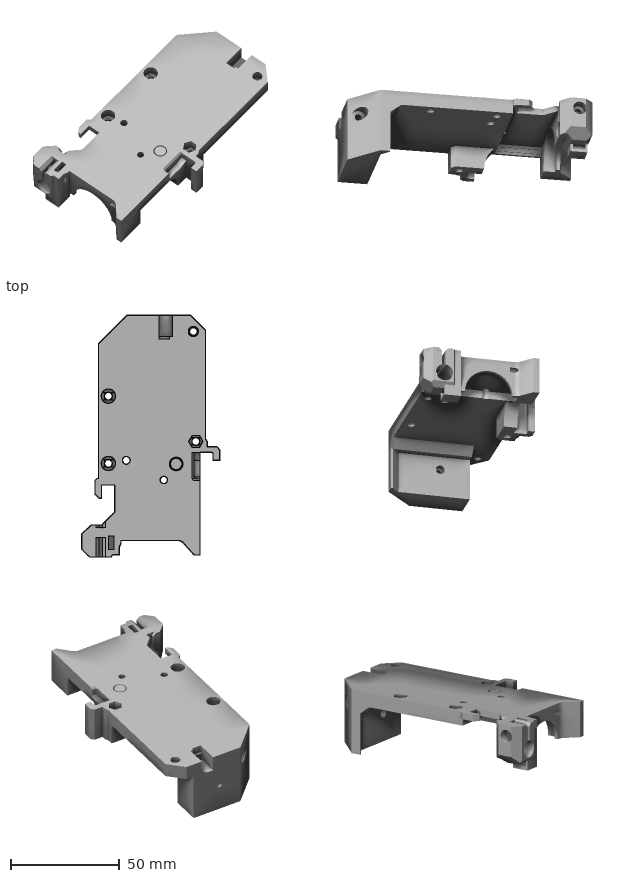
import cadquery as cq


LENGTH = 111.5
WIDTH = 63.5
PLATE_DEPTH = 6.8
THIN_DEPTH = 3.1
BLOCK_DEPTH = 17.2
CLAMP_DEPTH = 19.2
FOOT_DEPTH = 22.9
REAR_WALL_DEPTH = 30.5

LEFT_X = 7.7
RIGHT_X = 57.1
FRONT_RIGHT_X = 54.5
NECK_X = 15.2
WALL_FRONT_Y = 7.7
BLOCK_BACK_Y = 14.9
CAVITY_BACK_Y = 36.3
REAR_LEFT_CHAMFER = 13.2
RIGHT_FOOT_FRONT_Y = 1.0
HOOK_FRONT_Y = 48.3

ARCH_X = 32.1
ARCH_RADIUS = 11.3
CAVITY_RADIUS = BLOCK_DEPTH - THIN_DEPTH
ARCH_WALL = 1.8
CORNER_FILLET = 3.8
SIDE_GROOVE_DIAMETER = 2.8

CLAMP_CHAMFER = 4.7
CLAMP_EDGE_CHAMFER = 2.5
FOOT_FRONT_Y = 1.1
FOOT_TOP_DEPTH = 17.6
FOOT_BACK_Y = 9.1
FOOT_LEFT_X = 9.5
FOOT_RIGHT_X = 17.3
ROD_X = 9.1
ROD_DEPTH = 12.3
ROD_DIAMETER = 8.0
CLAMP_SCREW_Y = 6.5
CLAMP_SCREW_DEPTH = 5.0
CLAMP_SCREW_DIAMETER = 3.3
CLAMP_HEAD_DIAMETER = 6.2
CLAMP_HEAD_LENGTH = 5.0

REAR_WALL_RIGHT_X = 46.2
REAR_RIB_FRONT_Y = 93.8
REAR_WALL_FRONT_Y = 97.5
RIB_GUSSET_FRONT_Y = 88.6
GUSSET_DEPTH = 10.8
REAR_RIB_WIDTH = 0.9

SCREW_DIAMETER = 3.5
HEAD_DIAMETER = 6.6
HEAD_DEPTH = 5.0
BRIDGE_STEP = 0.3
LEFT_SCREWS = [(12.3, 74.1), (12.3, 43.2)]
NUT_PLACE = (52.5, 53.3)
REAR_SCREW_PLACE = (51.4, 103.9)
REAR_SCREW_HEAD_DIAMETER = 4.7
SCREW_HOLE_PLACE = (20.5, 44.6)
SMALL_HOLE_PLACE = (37.8, 35.6)
SMALL_HOLE_DIAMETER = 3.2

PLUG_PLACE = (43.5, 42.9)
PLUG_DIAMETER = 5.2
PLUG_HOLE_DIAMETER = 6.2


def prism(points, top, bottom):
    """Vertical prism over an XY outline between two depths."""
    return cq.Workplane("XY").workplane(offset=-bottom).polyline(points).close().extrude(bottom - top)


def box(x, y, depth):
    """Box between pairs of X, Y and depth limits."""
    corners = [(x[0], y[0]), (x[1], y[0]), (x[1], y[1]), (x[0], y[1])]
    return prism(corners, depth[0], depth[1])


def rod_x(diameter, y, depth, x_start, x_end):
    """Cylinder along X."""
    return cq.Workplane("YZ", origin=(x_start, y, -depth)).circle(diameter / 2).extrude(x_end - x_start)


def rod_y(diameter, x, depth, y_start, y_end):
    """Cylinder along Y."""
    return cq.Workplane("XZ", origin=(x, y_start, -depth)).circle(diameter / 2).extrude(y_start - y_end)


def rod_z(diameter, x, y, depth):
    """Cylinder going down from the top face."""
    return cq.Workplane("XY", origin=(x, y, 0)).circle(diameter / 2).extrude(-depth)


def profile_x(points, x_start, x_end):
    """Prism along X over a (Y, Z) outline."""
    return cq.Workplane("YZ", origin=(x_start, 0, 0)).polyline(points).close().extrude(x_end - x_start)


def profile_y(points, y_start, y_end):
    """Prism along Y over an (X, Z) outline."""
    return cq.Workplane("XZ", origin=(0, y_start, 0)).polyline(points).close().extrude(y_start - y_end)


def make_plate():
    """Flat plate with the left hook; the right hook belongs to the side boss."""
    outline = [
        (LEFT_X, LENGTH - REAR_LEFT_CHAMFER), (LEFT_X + REAR_LEFT_CHAMFER, LENGTH),
        (50.1, LENGTH), (RIGHT_X, 104.5), (RIGHT_X, HOOK_FRONT_Y), (FRONT_RIGHT_X, HOOK_FRONT_Y),
        (FRONT_RIGHT_X, BLOCK_BACK_Y), (9.3, BLOCK_BACK_Y), (NECK_X, 20.7),
        (NECK_X, 33.2), (9.1, 33.2), (9.1, 27.1), (8.0, 27.1), (6.0, 29.1), (6.0, 35.2),
        (7.1, CAVITY_BACK_Y), (LEFT_X, CAVITY_BACK_Y),
    ]
    return prism(outline, 0, PLATE_DEPTH)


def make_front_wall():
    """Front wall joined to the right front block."""
    outline = [
        (NECK_X, BLOCK_BACK_Y), (NECK_X, WALL_FRONT_Y), (45.7, WALL_FRONT_Y),
        (51.7, RIGHT_FOOT_FRONT_Y), (FRONT_RIGHT_X, RIGHT_FOOT_FRONT_Y), (FRONT_RIGHT_X, BLOCK_BACK_Y),
    ]
    wall = prism(outline, 0, BLOCK_DEPTH)
    corner = cq.selectors.BoxSelector((45.2, WALL_FRONT_Y - 0.6, -BLOCK_DEPTH), (46.3, WALL_FRONT_Y + 0.6, 0))
    return wall.edges("|Z").edges(corner).fillet(CORNER_FILLET)


def make_clamp_block():
    """Left front block with chamfered lower edges and a foot."""
    outline = [
        (3.7, 0), (13.5, 0), (14.3, FOOT_FRONT_Y), (FOOT_RIGHT_X, FOOT_FRONT_Y), (FOOT_RIGHT_X, 4.5),
        (18.2, 6.5), (18.2, BLOCK_BACK_Y), (4.5, BLOCK_BACK_Y), (0, 10.7), (0, 3.7),
    ]
    block = prism(outline, 0, CLAMP_DEPTH)
    rear_y = FOOT_BACK_Y + CLAMP_EDGE_CHAMFER
    side = profile_x(
        [(0, 0), (BLOCK_BACK_Y, 0), (BLOCK_BACK_Y, -BLOCK_DEPTH), (rear_y, -BLOCK_DEPTH),
         (FOOT_BACK_Y, -CLAMP_DEPTH), (CLAMP_EDGE_CHAMFER, -CLAMP_DEPTH),
         (0, CLAMP_EDGE_CHAMFER - CLAMP_DEPTH)], 0, WIDTH)
    lower_left = profile_y(
        [(0, -CLAMP_DEPTH), (CLAMP_CHAMFER, -CLAMP_DEPTH), (0, CLAMP_CHAMFER - CLAMP_DEPTH)],
        0, BLOCK_BACK_Y)
    foot = box((FOOT_LEFT_X, FOOT_RIGHT_X), (FOOT_FRONT_Y, FOOT_BACK_Y), (FOOT_TOP_DEPTH, FOOT_DEPTH))
    foot_pocket = box((FOOT_LEFT_X, FOOT_LEFT_X + 2.2), (2.0, 7.9), (CLAMP_DEPTH, 21.3))
    return block.intersect(side).cut(lower_left).union(foot).cut(foot_pocket)


def make_side_boss():
    """Boss under the right edge of the plate, scooped at its front, with the right hook."""
    root_x, inner_x, tip_y = 53.7, 60.4, 44.6
    inner_radius = 0.9
    hook = [
        (root_x, HOOK_FRONT_Y), (inner_x, HOOK_FRONT_Y), (inner_x, tip_y), (WIDTH, tip_y),
        (WIDTH, 49.4), (62.2, 51.0), (57.9, 51.0), (57.9, 53.2), (RIGHT_X, 54.3), (root_x, 54.3),
    ]
    base = [
        (48.2, CAVITY_BACK_Y), (FRONT_RIGHT_X, CAVITY_BACK_Y), (FRONT_RIGHT_X, HOOK_FRONT_Y),
        (RIGHT_X, HOOK_FRONT_Y), (RIGHT_X, 57.5), (50.1, 57.5), (48.2, 55.6),
    ]
    bottom_front_y = 42.4
    scoop = rod_x(2 * CAVITY_RADIUS, bottom_front_y - CAVITY_RADIUS, BLOCK_DEPTH, 0, WIDTH)
    boss = prism(base, PLATE_DEPTH, BLOCK_DEPTH).cut(scoop)
    inner_corner = cq.selectors.NearestToPointSelector((inner_x, HOOK_FRONT_Y, -BLOCK_DEPTH / 2))
    return boss.union(prism(hook, 0, BLOCK_DEPTH).edges(inner_corner).fillet(inner_radius))


def rear_gusset(length, x_start, x_end):
    """Sloped web between the plate and the rear wall."""
    points = [
        (REAR_RIB_FRONT_Y, -PLATE_DEPTH), (REAR_RIB_FRONT_Y - length, -PLATE_DEPTH),
        (REAR_RIB_FRONT_Y, -GUSSET_DEPTH),
    ]
    return profile_x(points, x_start, x_end)


def make_rear_wall():
    """Rear wall set back behind a narrow rib at its left edge, with sloped webs up to the plate."""
    back_left = LEFT_X + REAR_LEFT_CHAMFER
    outline = [
        (LEFT_X, REAR_RIB_FRONT_Y), (REAR_WALL_RIGHT_X, REAR_RIB_FRONT_Y), (REAR_WALL_RIGHT_X, LENGTH),
        (back_left, LENGTH), (LEFT_X, LENGTH - REAR_LEFT_CHAMFER),
    ]
    rib_x = LEFT_X + REAR_RIB_WIDTH
    setback = REAR_WALL_FRONT_Y - REAR_RIB_FRONT_Y
    recess = [
        (rib_x, REAR_RIB_FRONT_Y), (REAR_WALL_RIGHT_X, REAR_RIB_FRONT_Y),
        (REAR_WALL_RIGHT_X, REAR_WALL_FRONT_Y), (rib_x + setback, REAR_WALL_FRONT_Y),
    ]
    wall = prism(outline, 0, REAR_WALL_DEPTH).cut(prism(recess, GUSSET_DEPTH, REAR_WALL_DEPTH))
    rib_gusset = rear_gusset(REAR_RIB_FRONT_Y - RIB_GUSSET_FRONT_Y, LEFT_X, rib_x)
    wall_gusset = rear_gusset(GUSSET_DEPTH - PLATE_DEPTH, rib_x, REAR_WALL_RIGHT_X)
    return wall.union(rib_gusset).union(wall_gusset)


def cavity():
    """Hollow under the front half, with a leaning right wall, and the arch through the front wall."""
    profile = [
        (0, -PLATE_DEPTH), (0, -THIN_DEPTH), (50.7, -THIN_DEPTH), (51.3, -4.1), (51.6, -4.1),
        (52.4, -5.8), (52.7, -5.8), (53.2, -PLATE_DEPTH),
    ]
    hollow = profile_y(profile, BLOCK_BACK_Y, CAVITY_BACK_Y)
    bore = rod_y(2 * CAVITY_RADIUS, ARCH_X, BLOCK_DEPTH, WALL_FRONT_Y + ARCH_WALL, BLOCK_BACK_Y)
    arch = rod_y(2 * ARCH_RADIUS, ARCH_X, BLOCK_DEPTH, 0, BLOCK_BACK_Y)
    return hollow.union(bore).union(arch)


def side_groove():
    """Short round channel along X that breaks out of the front wall near its right corner."""
    axis_y, axis_depth = 8.5, 4.1
    left_x, right_x = 42.1, 46.8
    return rod_x(SIDE_GROOVE_DIAMETER, axis_y, axis_depth, left_x, right_x)


def clamp_cuts():
    """Rod bore, split with a flared mouth, pinch screw and nut pocket of the clamp block."""
    half_slot = 0.8
    half_mouth = 2.2
    mouth_depth = half_mouth - half_slot
    slot_x = 8.7
    split_end_y = 17.8
    screw_end_x = 17.8
    split = profile_y(
        [(slot_x - half_mouth, 0), (slot_x - half_slot, -mouth_depth), (slot_x - half_slot, -ROD_DEPTH),
         (slot_x + half_slot, -ROD_DEPTH), (slot_x + half_slot, -mouth_depth), (slot_x + half_mouth, 0)],
        0, split_end_y)
    bridge = box((slot_x - half_mouth, slot_x + half_mouth), (9.0, 13.6), (0, 6.5))
    rod = rod_y(ROD_DIAMETER, ROD_X, ROD_DEPTH, 0, BLOCK_BACK_Y)
    screw = rod_x(CLAMP_SCREW_DIAMETER, CLAMP_SCREW_Y, CLAMP_SCREW_DEPTH, 0, screw_end_x)
    head = rod_x(CLAMP_HEAD_DIAMETER, CLAMP_SCREW_Y, CLAMP_SCREW_DEPTH, 0, CLAMP_HEAD_LENGTH)
    nut = box((12.4, 14.8), (3.6, 9.7), (0, 8.1))
    return split.cut(bridge).union(rod).union(screw).union(head).union(nut)


def side_slot():
    """Pocket beside the right hook, open to the right, with a bevelled rim and a floor rising at both ends."""
    left_x, front_y = 50.7, 35.2
    rim = 0.9
    corner_radius = 1.7
    inner_x, inner_y = left_x + rim, front_y + rim
    floor_depth, rear_depth = 5.0, 3.7
    ramp_y = 44.6
    overrun = 2.2
    size_x = FRONT_RIGHT_X + overrun - left_x
    size_y = HOOK_FRONT_Y + overrun - front_y
    rim_outline = cq.Sketch().rect(size_x, size_y).vertices("<X and <Y").fillet(corner_radius)
    bevel = (
        cq.Workplane("XY", origin=(left_x + size_x / 2, front_y + size_y / 2, 0))
        .placeSketch(rim_outline).extrude(-rim, taper=45)
        .intersect(box((left_x, FRONT_RIGHT_X), (front_y, HOOK_FRONT_Y), (0, rim)))
    )
    corner = cq.selectors.NearestToPointSelector((inner_x, inner_y, -floor_depth / 2))
    pocket = profile_x(
        [(inner_y, 0), (inner_y, rim - floor_depth), (inner_y + rim, -floor_depth), (ramp_y, -floor_depth),
         (HOOK_FRONT_Y, -rear_depth), (HOOK_FRONT_Y, 0)], inner_x, FRONT_RIGHT_X)
    return pocket.edges(corner).fillet(corner_radius - rim).union(bevel)


def rear_slot():
    """Notch in the rear edge with a rounded lower right side and a short step at its front end."""
    left_x, right_x, front_y = 35.6, 41.8, 101.7
    depth = 7.4
    floor_radius = 3.7
    notch = box((left_x, right_x), (front_y, LENGTH), (0, depth)).edges("|Y and >X and <Z").fillet(floor_radius)
    return notch.union(box((left_x, 40.4), (100.6, front_y), (0, floor_radius)))


def rear_wall_holes():
    """Screw hole along Y through the rear wall, and a counterbored one along X from its left chamfer."""
    through_diameter, recess_diameter, recess_length = 2.3, 4.2, 3.3
    through = rod_y(through_diameter, ARCH_X, BLOCK_DEPTH, REAR_RIB_FRONT_Y, LENGTH)
    recess = rod_y(
        recess_diameter, ARCH_X, BLOCK_DEPTH, REAR_WALL_FRONT_Y, REAR_WALL_FRONT_Y + recess_length)
    side_y, side_depth = 106.5, 9.1
    floor_x, end_x = 20.1, 32.3
    side_head = rod_x(HEAD_DIAMETER, side_y, side_depth, LEFT_X, floor_x)
    side_screw = rod_x(SMALL_HOLE_DIAMETER, side_y, side_depth, floor_x, end_x)
    return through.union(recess).union(side_head).union(side_screw)


def bridged_screw_hole(x, y, recess):
    """Screw hole below a recess, with two stepped bridges between them."""
    slot = recess.translate((0, 0, -BRIDGE_STEP)).intersect(
        cq.Workplane("XY", origin=(x, y, -HEAD_DEPTH)).box(2 * HEAD_DIAMETER, SCREW_DIAMETER, 2 * PLATE_DEPTH))
    square = cq.Workplane("XY", origin=(x, y, 0)).rect(SCREW_DIAMETER, SCREW_DIAMETER)
    square = square.extrude(-HEAD_DEPTH - 2 * BRIDGE_STEP)
    return recess.union(slot).union(square).union(rod_z(SCREW_DIAMETER, x, y, BLOCK_DEPTH))


def screw_holes():
    """All vertical screw holes of the plate."""
    holes = rod_z(SCREW_DIAMETER, *SCREW_HOLE_PLACE, PLATE_DEPTH)
    holes = holes.union(rod_z(SMALL_HOLE_DIAMETER, *SMALL_HOLE_PLACE, PLATE_DEPTH))
    holes = holes.union(rod_z(SCREW_DIAMETER, *REAR_SCREW_PLACE, PLATE_DEPTH))
    holes = holes.union(rod_z(REAR_SCREW_HEAD_DIAMETER, *REAR_SCREW_PLACE, HEAD_DEPTH))
    for x, y in LEFT_SCREWS:
        holes = holes.union(bridged_screw_hole(x, y, rod_z(HEAD_DIAMETER, x, y, HEAD_DEPTH)))
    x, y = NUT_PLACE
    nut = cq.Workplane("XY", origin=(x, y, 0)).polygon(6, HEAD_DIAMETER).extrude(-HEAD_DEPTH)
    return holes.union(bridged_screw_hole(x, y, nut))


def make_housing():
    body = make_plate().union(make_front_wall()).union(make_side_boss()).union(make_rear_wall())
    body = body.cut(cavity()).union(make_clamp_block()).cut(clamp_cuts())
    for removed in (side_groove(), side_slot(), rear_slot(), rear_wall_holes(), screw_holes()):
        body = body.cut(removed)
    return body.cut(rod_z(PLUG_HOLE_DIAMETER, *PLUG_PLACE, HEAD_DEPTH))


def make_plug():
    """Round plug standing on the floor of its wider hole, flush with the top face."""
    return rod_z(PLUG_DIAMETER, *PLUG_PLACE, HEAD_DEPTH)


housing = make_housing()
plug = make_plug()

result = cq.Compound.makeCompound([housing.val(), plug.val()])